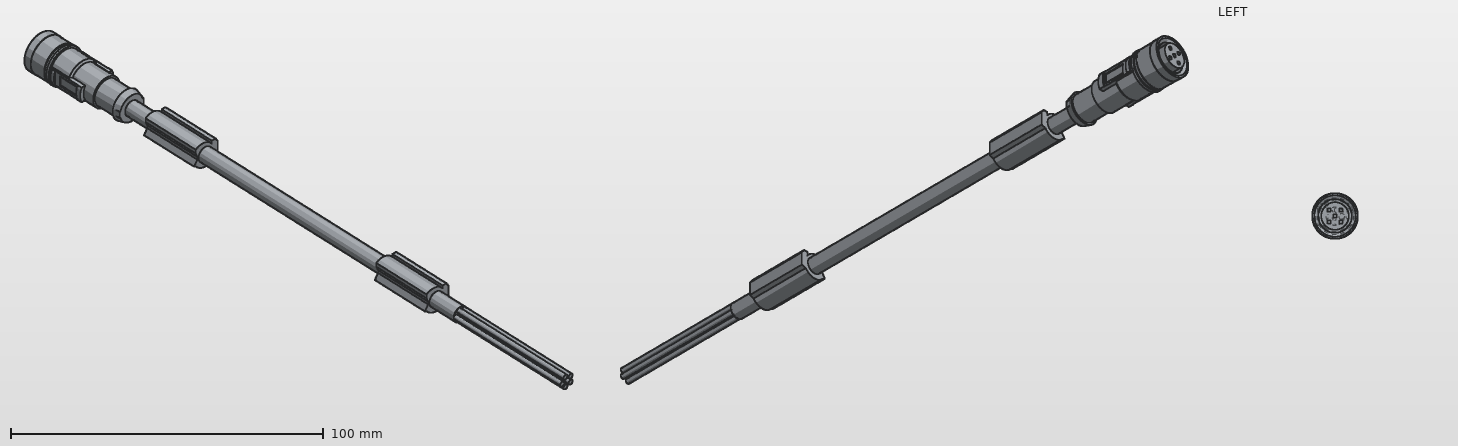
import cadquery as cq
import math

TOTAL_LENGTH = 245.0

NUT_FRONT = 1.0
NUT_RADIUS = 7.4
NUT_GRIP_START = 4.0
NUT_GRIP_END = 10.0
NUT_GRIP_RELIEF = 0.12
NUT_GRIP_RADIUS = NUT_RADIUS - NUT_GRIP_RELIEF
NUT_NECK_RADIUS = 6.9
NUT_FLANGE_START = 11.3
NUT_END = 12.2
BORE_RADIUS = 5.5
BORE_DEPTH = 7.4
BORE_MOUTH_RADIUS = 6.5
BORE_MOUTH_DEPTH = 0.7

INSERT_RADIUS = 4.5
CONTACT_RADIUS = 0.61
CONTACT_CIRCLE_RADIUS = 2.7
CONTACT_DEPTH = 5.0
OUTER_CONTACTS = 4
FIRST_CONTACT_ANGLE = 45

BODY_RADIUS = 6.5
BODY_END = 20.3
GRIP_START = 21.0
GRIP_RADIUS = 6.0
GRIP_END = 31.4
SLEEVE_RADIUS = 5.1
COLLAR_START = 40.5
COLLAR_RADIUS = 6.0
COLLAR_END = 43.0
COLLAR_END_RADIUS = SLEEVE_RADIUS
COLLAR_PAD_HALF_HEIGHT = 1.2
COLLAR_PAD_REACH = 5.5

PAD_START = NUT_END
PAD_END = 27.0
PAD_HALF_HEIGHT = 3.0
PAD_REACH = BODY_RADIUS
RIDGE_RADIUS = NUT_RADIUS
FRONT_RIDGE = (13.2, 14.7)
REAR_RIDGE = (25.0, PAD_END)
PANEL_START = 16.7
PANEL_END = 24.5
PANEL_HALF_HEIGHT = 1.84
PANEL_DEPTH = 0.37

CABLE_RADIUS = 3.0
CABLE_END = 195.5
WIRE_COUNT = 5
FIRST_WIRE_ANGLE = 180
WIRE_RADIUS = 0.9
WIRE_CIRCLE_RADIUS = CABLE_RADIUS - WIRE_RADIUS

MARKER_LENGTH = 23.3
MARKER_STARTS = (54.0, 161.0)
MARKER_CROWN_RADIUS = 5.1
MARKER_CROWN_Y = -1.2
MARKER_TOP = 5.0
MARKER_LIP_Y = -4.2
MARKER_LIP_BOTTOM = 2.5
MARKER_GROOVE_Y = -3.5
MARKER_GROOVE_TOP = 0.7
MARKER_GROOVE_BOTTOM = -0.37
MARKER_JAW_Y = -5.0
MARKER_JAW_TOP = -2.5
MARKER_BELLY_RADIUS = 5.0
MARKER_BELLY_TOP = -3.0
MARKER_CREST_END_Y = 3.0
MARKER_RAIL_Y = 4.7
MARKER_RAIL_TOP = 4.0
MARKER_BACK_Y = 5.6
MARKER_BACK_TOP = MARKER_LIP_BOTTOM
MARKER_BACK_BOTTOM = MARKER_JAW_TOP


def rod(start, end, radius, y=0.0, z=0.0):
    """Round bar along X from start to end."""
    return cq.Workplane("YZ", origin=(start, y, z)).circle(radius).extrude(end - start)


def box_between(x_range, y_range, half_height):
    """Block centred on Z = 0 between two X and two Y positions."""
    return (
        cq.Workplane("XY", origin=(0, 0, -half_height))
        .moveTo(x_range[0], y_range[0])
        .lineTo(x_range[1], y_range[0])
        .lineTo(x_range[1], y_range[1])
        .lineTo(x_range[0], y_range[1])
        .close()
        .extrude(2 * half_height)
    )


def ring_points(count, radius, first_angle):
    """Evenly spaced (Y, Z) places on a circle about the cable axis."""
    angles = [math.radians(first_angle + 360 * i / count) for i in range(count)]
    return [(radius * math.cos(a), radius * math.sin(a)) for a in angles]


def turned_body():
    """Nut, insert, grip and cable as one outline revolved about X."""
    outline = [
        (0, 0),
        (0, INSERT_RADIUS),
        (NUT_FRONT + BORE_DEPTH, INSERT_RADIUS),
        (NUT_FRONT + BORE_DEPTH, BORE_RADIUS),
        (NUT_FRONT + BORE_MOUTH_DEPTH, BORE_RADIUS),
        (NUT_FRONT, BORE_MOUTH_RADIUS),
        (NUT_FRONT, NUT_RADIUS),
        (NUT_GRIP_START, NUT_RADIUS),
        (NUT_GRIP_START, NUT_GRIP_RADIUS),
        (NUT_GRIP_END, NUT_GRIP_RADIUS),
        (NUT_GRIP_END, NUT_NECK_RADIUS),
        (NUT_FLANGE_START, NUT_NECK_RADIUS),
        (NUT_FLANGE_START, NUT_RADIUS),
        (NUT_END, NUT_RADIUS),
        (NUT_END, BODY_RADIUS),
        (BODY_END, BODY_RADIUS),
        (GRIP_START, GRIP_RADIUS),
        (GRIP_END, GRIP_RADIUS),
        (GRIP_END, SLEEVE_RADIUS),
        (COLLAR_START, SLEEVE_RADIUS),
        (COLLAR_START, COLLAR_RADIUS),
        (COLLAR_END, COLLAR_END_RADIUS),
        (COLLAR_END, CABLE_RADIUS),
        (CABLE_END, CABLE_RADIUS),
        (CABLE_END, 0),
    ]
    return cq.Workplane("XY").polyline(outline).close().revolve(360, (0, 0, 0), (1, 0, 0))


def contact_holes():
    """Blind contact holes in the insert: one in the centre, the rest around it."""
    places = [(0, 0)] + ring_points(OUTER_CONTACTS, CONTACT_CIRCLE_RADIUS, FIRST_CONTACT_ANGLE)
    return cq.Workplane("YZ").pushPoints(places).circle(CONTACT_RADIUS).extrude(CONTACT_DEPTH)


def latch_pad(side):
    """Pad with a rounded ridge at each end, and the cutter for its sunk panel.

    side is +1 or -1 and picks the +Y or -Y flank.
    """
    pad = box_between((PAD_START, PAD_END), (0, side * PAD_REACH), PAD_HALF_HEIGHT)
    panel_floor = PAD_REACH - PANEL_DEPTH
    panel = box_between(
        (PANEL_START, PANEL_END), (side * panel_floor, side * RIDGE_RADIUS), PANEL_HALF_HEIGHT
    )
    for start, end in (FRONT_RIDGE, REAR_RIDGE):
        block = box_between((start, end), (0, side * NUT_RADIUS), PAD_HALF_HEIGHT)
        pad = pad.union(rod(start, end, RIDGE_RADIUS).intersect(block))
    return pad, panel


def collar_pad():
    """Block through the collar that shows as a small flat on both Y sides."""
    return box_between(
        (COLLAR_START, COLLAR_END), (-COLLAR_PAD_REACH, COLLAR_PAD_REACH), COLLAR_PAD_HALF_HEIGHT
    )


def marker(start):
    """Marker sleeve: arched crown, round belly, groove along -Y and stepped rail along +Y."""
    crown_z = MARKER_TOP - MARKER_CROWN_RADIUS
    belly_y = math.sqrt(MARKER_BELLY_RADIUS**2 - MARKER_BELLY_TOP**2)

    def crown(y):
        rise = math.sqrt(MARKER_CROWN_RADIUS**2 - (y - MARKER_CROWN_Y) ** 2)
        return (y, crown_z + rise)

    return (
        cq.Workplane("YZ", origin=(start, 0, 0))
        .moveTo(*crown(MARKER_LIP_Y))
        .threePointArc((MARKER_CROWN_Y, MARKER_TOP), crown(MARKER_CREST_END_Y))
        .lineTo(MARKER_CREST_END_Y, MARKER_RAIL_TOP)
        .lineTo(MARKER_RAIL_Y, MARKER_RAIL_TOP)
        .lineTo(MARKER_BACK_Y, MARKER_BACK_TOP)
        .lineTo(MARKER_BACK_Y, MARKER_BACK_BOTTOM)
        .lineTo(belly_y, MARKER_BELLY_TOP)
        .threePointArc((0, -MARKER_BELLY_RADIUS), (-belly_y, MARKER_BELLY_TOP))
        .lineTo(MARKER_JAW_Y, MARKER_JAW_TOP)
        .lineTo(MARKER_GROOVE_Y, MARKER_GROOVE_BOTTOM)
        .lineTo(MARKER_GROOVE_Y, MARKER_GROOVE_TOP)
        .lineTo(MARKER_LIP_Y, MARKER_LIP_BOTTOM)
        .close()
        .extrude(MARKER_LENGTH)
    )


result = turned_body().cut(contact_holes())

for side in (1, -1):
    pad, panel = latch_pad(side)
    result = result.union(pad).cut(panel)

result = result.union(collar_pad())

for marker_start in MARKER_STARTS:
    result = result.union(marker(marker_start))

for wire_y, wire_z in ring_points(WIRE_COUNT, WIRE_CIRCLE_RADIUS, FIRST_WIRE_ANGLE):
    result = result.union(rod(CABLE_END - CABLE_RADIUS, TOTAL_LENGTH, WIRE_RADIUS, wire_y, wire_z))